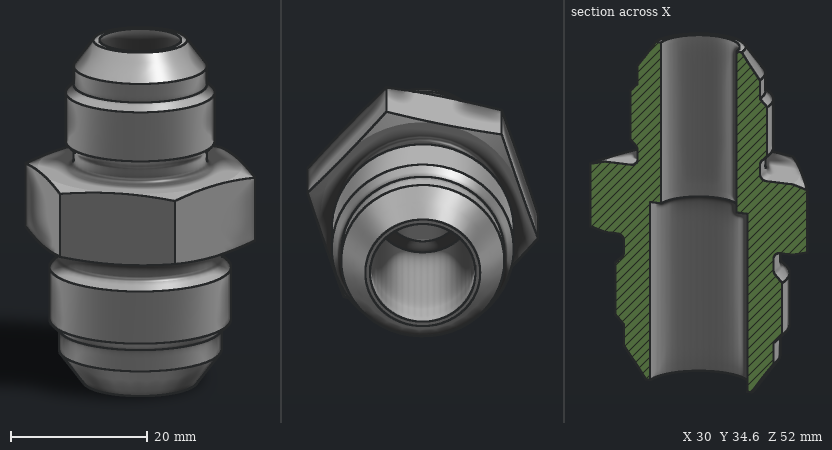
import cadquery as cq
import math

length = 52.0
hex_width = 30.0
hex_bottom = 21.85
hex_top = 32.7
hex_chamfer_angle = 15.0

small_bore = 12.0
small_tip = 13.8
small_neck = 19.6
small_thread = 21.95
small_cone_height = 3.95
small_thread_top = 44.05
small_thread_bottom = 36.55

large_bore = 15.5
large_tip = 16.9
large_neck = 23.95
large_thread = 26.75
large_cone_height = 4.8
large_thread_top = 17.35
large_thread_bottom = 9.4

fillet = 1.0

large_bore_depth = (hex_bottom + hex_top) / 2


def make_end(start, outward, tip, neck, thread, cone_height, thread_outer, thread_inner, hex_face):
    """Revolved end from its tip to the hexagon; outward is +1 upwards, -1 downwards."""
    tip_radius = tip / 2
    neck_radius = neck / 2
    thread_radius = thread / 2
    chamfer = thread_radius - neck_radius
    hex_middle = (hex_bottom + hex_top) / 2
    fillet_offset = fillet * (1 - math.sqrt(0.5))

    groove_corner = thread_inner - outward * chamfer
    tangent_length = fillet * math.tan(math.radians(22.5))
    tangent_step = tangent_length * math.sqrt(0.5)
    groove_center_z = groove_corner - outward * tangent_length
    half_arc = math.radians(22.5)

    profile = (
        cq.Workplane("XZ")
        .moveTo(0, start)
        .lineTo(tip_radius, start)
        .lineTo(neck_radius, start - outward * cone_height)
        .lineTo(neck_radius, thread_outer + outward * chamfer)
        .lineTo(thread_radius, thread_outer)
        .lineTo(thread_radius, thread_inner)
        .lineTo(neck_radius + tangent_step, groove_corner + outward * tangent_step)
        .threePointArc(
            (
                neck_radius + fillet * (1 - math.cos(half_arc)),
                groove_center_z + outward * fillet * math.sin(half_arc),
            ),
            (neck_radius, groove_center_z),
        )
        .lineTo(neck_radius, hex_face + outward * fillet)
        .threePointArc(
            (neck_radius + fillet_offset, hex_face + outward * fillet_offset),
            (neck_radius + fillet, hex_face),
        )
        .lineTo(neck_radius + fillet, hex_middle)
        .lineTo(0, hex_middle)
        .close()
    )
    return profile.revolve(360, (0, 0, 0), (0, 1, 0))


def make_hexagon():
    """Hexagon with flats facing +X and -X, its corners turned to a cone at both faces."""
    corner_diameter = hex_width / math.cos(math.radians(30))
    flat_radius = hex_width / 2
    corner_radius = corner_diameter / 2
    drop = (corner_radius - flat_radius) * math.tan(math.radians(hex_chamfer_angle))
    prism = (
        cq.Workplane("XY", origin=(0, 0, hex_bottom))
        .transformed(rotate=(0, 0, 90))
        .polygon(6, corner_diameter)
        .extrude(hex_top - hex_bottom)
    )
    turned = (
        cq.Workplane("XZ")
        .moveTo(0, hex_bottom)
        .lineTo(flat_radius, hex_bottom)
        .lineTo(corner_radius, hex_bottom + drop)
        .lineTo(corner_radius, hex_top - drop)
        .lineTo(flat_radius, hex_top)
        .lineTo(0, hex_top)
        .close()
        .revolve(360, (0, 0, 0), (0, 1, 0))
    )
    return prism.intersect(turned)


small_end = make_end(
    length, 1, small_tip, small_neck, small_thread, small_cone_height,
    small_thread_top, small_thread_bottom, hex_top,
)
large_end = make_end(
    0, -1, large_tip, large_neck, large_thread, large_cone_height,
    large_thread_bottom, large_thread_top, hex_bottom,
)
through_bore = cq.Workplane("XY").circle(small_bore / 2).extrude(length)
lower_bore = cq.Workplane("XY").circle(large_bore / 2).extrude(large_bore_depth)

result = make_hexagon().union(small_end).union(large_end).cut(through_bore).cut(lower_bore)